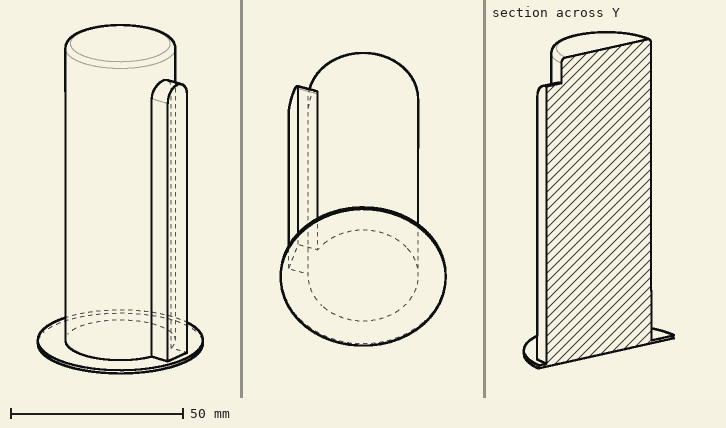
import cadquery as cq

total_height = 93.5
flange_diameter = 48.0
flange_thickness = 1.0
body_diameter = 32.0
top_edge_radius = 1.5
rib_width = 9.0
rib_reach = 21.3
rib_top = 85.9

flange = cq.Workplane("XY").circle(flange_diameter / 2).extrude(flange_thickness)

body = (
    cq.Workplane("XY")
    .circle(body_diameter / 2)
    .extrude(total_height)
    .faces(">Z")
    .edges()
    .fillet(top_edge_radius)
)

rib_arc_center = rib_top - rib_width / 2
rib = (
    cq.Workplane("YZ")
    .moveTo(-rib_width / 2, 0)
    .lineTo(rib_width / 2, 0)
    .lineTo(rib_width / 2, rib_arc_center)
    .threePointArc((0, rib_top), (-rib_width / 2, rib_arc_center))
    .close()
    .extrude(rib_reach)
)

result = flange.union(body).union(rib)